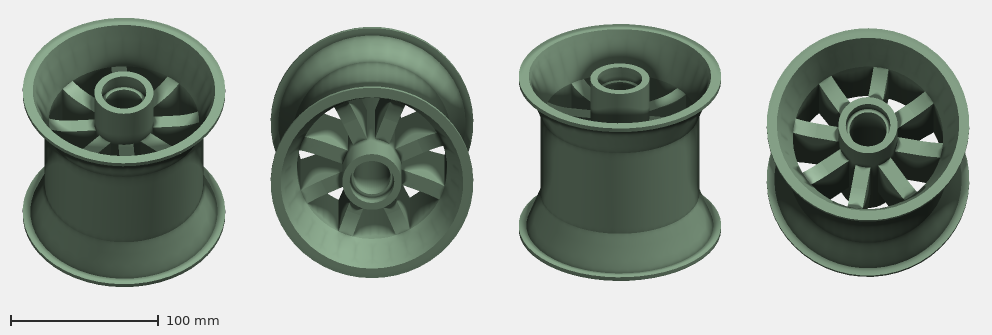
import cadquery as cq
import math

rim_radius = 68.5
rim_height = 120.3
flange_thickness = 2.9

barrel_outer_radius = 53.7
barrel_inner_radius = 50.8
barrel_length = 63.5
inner_barrel_length = 62.5
flare_outer_radius = 63.3
flare_inner_radius = 61.6

hub_radius = 20.0
hub_height = 116.5
bore_radius = 12.6
bearing_seat_radius = 15.1
bearing_seat_depth = 10.3

spoke_count = 8
spoke_width = 10.3
spoke_flat_height = 56.2
spoke_curve_start = 35.6

half_height = rim_height / 2
half_barrel = barrel_length / 2
half_inner_barrel = inner_barrel_length / 2
flange_inner_face = half_height - flange_thickness


def make_rim():
    """Revolve the wall section, symmetric about the mid-plane."""
    return (
        cq.Workplane("XZ")
        .moveTo(flare_inner_radius, half_height)
        .lineTo(rim_radius, half_height)
        .lineTo(rim_radius, flange_inner_face)
        .lineTo(flare_outer_radius, flange_inner_face)
        .lineTo(barrel_outer_radius, half_barrel)
        .lineTo(barrel_outer_radius, -half_barrel)
        .lineTo(flare_outer_radius, -flange_inner_face)
        .lineTo(rim_radius, -flange_inner_face)
        .lineTo(rim_radius, -half_height)
        .lineTo(flare_inner_radius, -half_height)
        .lineTo(barrel_inner_radius, -half_inner_barrel)
        .lineTo(barrel_inner_radius, half_inner_barrel)
        .close()
        .revolve(360, (0, 0, 0), (0, 1, 0))
    )


def make_spoke():
    """One spoke along +X whose edges curve tangentially from the flat part."""
    half_flat = spoke_flat_height / 2
    spoke_start = (bearing_seat_radius + hub_radius) / 2
    curve_run = barrel_inner_radius - spoke_curve_start
    curve_rise = half_inner_barrel - half_flat
    curve_radius = (curve_run**2 + curve_rise**2) / (2 * curve_rise)
    half_angle = math.asin(curve_run / curve_radius) / 2
    mid_x = spoke_curve_start + curve_radius * math.sin(half_angle)
    mid_z = half_flat + curve_radius * (1 - math.cos(half_angle))
    root_radius = (barrel_inner_radius + barrel_outer_radius) / 2
    return (
        cq.Workplane("XZ")
        .moveTo(spoke_start, half_flat)
        .lineTo(spoke_curve_start, half_flat)
        .threePointArc((mid_x, mid_z), (barrel_inner_radius, half_inner_barrel))
        .lineTo(root_radius, half_inner_barrel)
        .lineTo(root_radius, -half_inner_barrel)
        .lineTo(barrel_inner_radius, -half_inner_barrel)
        .threePointArc((mid_x, -mid_z), (spoke_curve_start, -half_flat))
        .lineTo(spoke_start, -half_flat)
        .close()
        .extrude(spoke_width / 2, both=True)
    )


def make_hub_cut():
    """Through bore with a bearing seat at each end."""
    cut = cq.Workplane("XY").circle(bore_radius).extrude(hub_height / 2, both=True)
    seat_height = hub_height / 2 - bearing_seat_depth
    for start, depth in (
        (seat_height, bearing_seat_depth),
        (-seat_height, -bearing_seat_depth),
    ):
        seat = cq.Workplane("XY").workplane(offset=start).circle(bearing_seat_radius).extrude(depth)
        cut = cut.union(seat)
    return cut


hub = cq.Workplane("XY").circle(hub_radius).extrude(hub_height / 2, both=True)
result = make_rim().union(hub)
spoke = make_spoke()
for index in range(spoke_count):
    angle = index * 360 / spoke_count
    result = result.union(spoke.rotate((0, 0, 0), (0, 0, 1), angle))
result = result.cut(make_hub_cut())